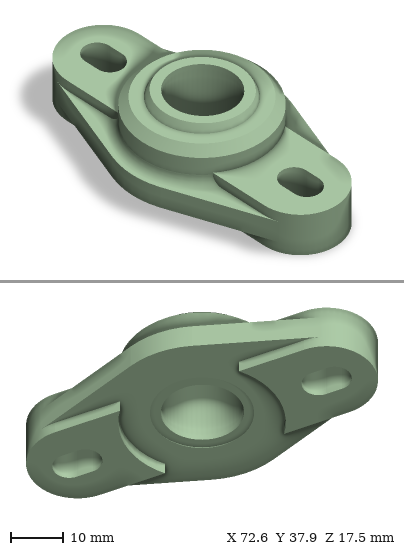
import cadquery as cq
import math

overall_length = 72.6
lug_radius = 9.8
lug_height = 10.0
lug_offset = overall_length / 2 - lug_radius

slot_length = 9.95
slot_width = 6.5

plate_bottom = 2.5
plate_top = 7.55
plate_radius = 18.95

boss_radius = 32.0 / 2
boss_top = 15.75
boss_chamfer = 1.95
boss_fillet = 2.0

ball_radius = 12.5
ball_half_height = 7.25
ball_center_z = lug_height
ball_bore = 15.9
ball_tilt = 1.5


def make_plate():
    """Central disc joined to the two lug ends by tangent straight edges."""
    tangent_sine = (plate_radius - lug_radius) / lug_offset
    tangent_cosine = math.sqrt(1 - tangent_sine**2)
    mid_x = plate_radius * tangent_sine
    mid_y = plate_radius * tangent_cosine
    end_x = lug_offset + lug_radius * tangent_sine
    end_y = lug_radius * tangent_cosine
    return (
        cq.Workplane("XY", origin=(0, 0, plate_bottom))
        .moveTo(-mid_x, mid_y)
        .threePointArc((0, plate_radius), (mid_x, mid_y))
        .lineTo(end_x, end_y)
        .threePointArc((overall_length / 2, 0), (end_x, -end_y))
        .lineTo(mid_x, -mid_y)
        .threePointArc((0, -plate_radius), (-mid_x, -mid_y))
        .lineTo(-end_x, -end_y)
        .threePointArc((-overall_length / 2, 0), (-end_x, end_y))
        .close()
        .extrude(plate_top - plate_bottom)
    )


def make_lugs():
    """Both lugs as one long bar, relieved underneath the boss."""
    bar = cq.Workplane("XY").slot2D(overall_length, 2 * lug_radius).extrude(lug_height)
    relief = cq.Workplane("XY").circle(boss_radius).extrude(plate_bottom)
    return bar.cut(relief)


def make_boss():
    """Round boss with a chamfered rim and a concave fillet onto the plate."""
    fillet_center_x = boss_radius + boss_fillet
    fillet_center_z = plate_top + boss_fillet
    diagonal = boss_fillet * math.sqrt(0.5)
    return (
        cq.Workplane("XZ")
        .moveTo(0, plate_bottom)
        .lineTo(boss_radius + boss_fillet, plate_bottom)
        .lineTo(boss_radius + boss_fillet, plate_top)
        .threePointArc(
            (fillet_center_x - diagonal, fillet_center_z - diagonal),
            (boss_radius, fillet_center_z),
        )
        .lineTo(boss_radius, boss_top - boss_chamfer)
        .lineTo(boss_radius - boss_chamfer, boss_top)
        .lineTo(0, boss_top)
        .close()
        .revolve(360, (0, 0), (0, 1))
    )


def make_housing():
    """Flange housing with a spherical socket and two slotted holes."""
    socket = cq.Workplane("XY", origin=(0, 0, ball_center_z)).sphere(ball_radius)
    slots = (
        cq.Workplane("XY")
        .pushPoints([(-lug_offset, 0), (lug_offset, 0)])
        .slot2D(slot_length, slot_width)
        .extrude(lug_height)
    )
    return make_plate().union(make_lugs()).union(make_boss()).cut(socket).cut(slots)


def make_ball():
    """Sphere with flat ends and a through bore, tilted about its center."""
    ball_height = 2 * ball_half_height
    lower_plane = cq.Workplane("XY", origin=(0, 0, -ball_half_height))
    ring = lower_plane.circle(ball_radius).circle(ball_bore / 2).extrude(ball_height)
    ball = cq.Workplane("XY").sphere(ball_radius).intersect(ring)
    return ball.rotate((0, 0, 0), (1, 0, 0), -ball_tilt).translate((0, 0, ball_center_z))


housing = make_housing()
ball = make_ball()
result = cq.Compound.makeCompound([housing.solids().val(), ball.solids().val()])